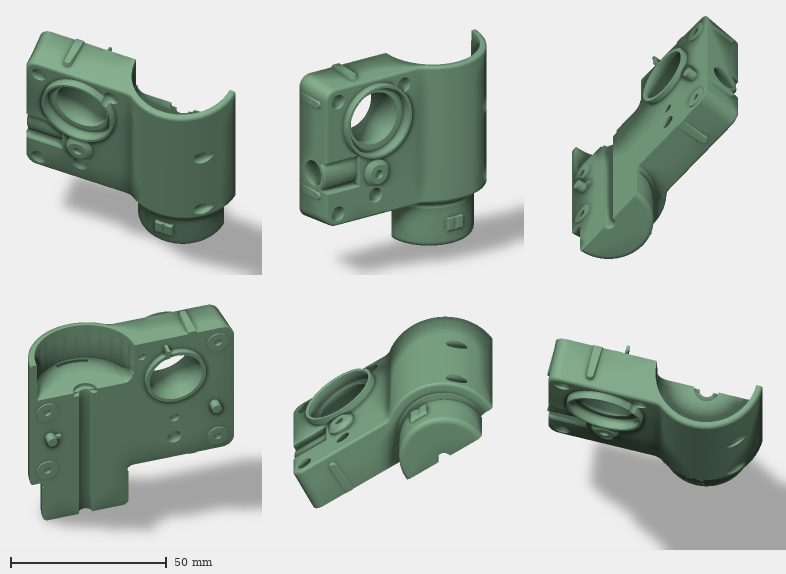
import cadquery as cq
import math


HEIGHT = 49.75
LEFT_X = -50.0
BARREL_R = 18.57
FACE_DEPTH = 14.0
DRAFT = 4.0
CORNER_R = 4.0
BLEND_R = 4.6
FRONT_EDGE_R = 1.0
OVERLAP = 1.0

CAVITY_FLOOR_Z = 34.8
CAVITY_TOP_R = 16.45
CAVITY_FLOOR_R = 16.3
CAVITY_CHAMFER = 0.35
CAVITY_COVE_R = 3.0
CAVITY_COVE_X = -12.95
SHAFT_R = 2.2
SHAFT_SEAT_R = 4.0
SHAFT_SEAT_DEPTH = 1.0
SHAFT_STEP_Y = -1.56
SHAFT_STEP_DEPTH = 0.5
FLOOR_SLOT_R = 14.6
FLOOR_SLOT_WIDTH = 10.4
FLOOR_SLOT_DEPTH = 1.0

COLLAR_R = 14.45
COLLAR_LENGTH = 16.0
COLLAR_SHOULDER_Z = -2.4
COLLAR_END_R = 1.8
NECK_R = 14.06
NECK_FILLET_R = 1.2
FLANGE_Z = -0.35

CLIP_TOP_Z = -6.1
CLIP_BOTTOM_Z = -11.0
CLIP_FRONT_Y = -15.7
CLIP_WIDTH = 6.0
CLIP_EDGE_R = 0.6
CLIP_BEVEL = 1.1
CLIP_GROOVE_WIDTH = 1.8
CLIP_GROOVE_DEPTH = 0.45

RING_X = -29.9
RING_Z = 34.6
RING_BASE_R = 12.65
RING_FACE_R = 12.4
RING_HEIGHT = 2.5
RING_RECESS_R = 11.4
RING_RECESS_DEPTH = 3.6
RING_BORE_R = 8.9
RING_LIP = 0.25
BACK_RING_R = 10.1
BACK_RING_HEIGHT = 1.95

BOSS_Z = 16.2
BOSS_R = 4.53
BOSS_HEIGHT = 2.05
BOSS_CHAMFER_HEIGHT = 1.1
BOSS_TOP_R = 3.28
BOSS_HOLE_R = 1.52
LOWER_HOLE_Z = 8.25
LOWER_HOLE_R = 2.35
LOWER_HOLE_CHAMFER = 0.25

SCREW_LEFT_X = -44.4
SCREW_MIDDLE_X = -18.97
SCREW_RIGHT_X = 12.97
SCREW_LOW_Z = 5.15
SCREW_MID_Z = 29.26
SCREW_HIGH_Z = 44.16
SCREW_HOLE_R = 1.26
SCREW_HEAD_R = 2.5
SCREW_HEAD_SEAT_Y = -4.0
SCREW_PAD_R = 3.5
SCREW_PAD_HEIGHT = 0.43
PADDED_SCREWS = [
    (SCREW_LEFT_X, SCREW_LOW_Z),
    (SCREW_LEFT_X, SCREW_HIGH_Z),
    (SCREW_RIGHT_X, SCREW_LOW_Z),
    (SCREW_RIGHT_X, SCREW_MID_Z),
]
ALL_SCREWS = PADDED_SCREWS + [(SCREW_MIDDLE_X, SCREW_HIGH_Z)]

PIN_XS = (-43.3, 12.05)
PIN_Z = 18.8
PIN_R = 1.6
PIN_HEIGHT = 3.2
GUSSET_END_X = 8.7
GUSSET_HEIGHT = 1.25
GUSSET_THICKNESS = 1.0
FIN_X = -26.9
FIN_THICKNESS = 0.97
FIN_BOTTOM_Z = 43.9
FIN_TOP_Z = 47.3
FIN_HEIGHT = 3.2
FIN_TIP_Y = 3.68
FIN_LIP = 0.8

SIDE_BORE_Y = -7.13
SIDE_BORE_Z = 18.15
SIDE_BORE_R = 4.3
SIDE_BORE_LIP = 0.2
SIDE_BORE_DEPTH = 13.0
TUBE_R = 6.0
TUBE_CHAMFER = 0.5
POCKET_END_X = -36.5
POCKET_WIDTH = 10.1
POCKET_RIM_CHAMFER = 0.5
POCKET_FLOOR_Y = -10.95

RIB_LENGTH = 11.0
RIB_ROOT_WIDTH = 2.7
RIB_TIP_R = 1.0
RIB_DEPTH = 1.8
RIB_FLARE = 20.0
END_RIB_X = -36.0
TOP_RIB_Z = 50.5
BOTTOM_RIB_Z = -0.25
LEFT_RIB_ZS = (11.2, 43.04)

SPAN = 200.0


def front_of_parting_plane():
    return cq.Workplane("XY").box(SPAN, SPAN, SPAN).translate((0, -SPAN / 2, 0))


def rod_y(x, z, radius, y_start, y_end):
    """Round bar parallel to Y between two Y positions."""
    bar = cq.Workplane("XZ").center(x, z).circle(radius).extrude(y_start - y_end)
    return bar.translate((0, y_start, 0))


def cone_y(x, z, start_r, end_r, y_start, y_end):
    """Cone frustum along -Y, from start_r at y_start to end_r at y_end."""
    cone = cq.Solid.makeCone(
        start_r, end_r, y_start - y_end, cq.Vector(x, y_start, z), cq.Vector(0, -1, 0)
    )
    return cq.Workplane(cone)


def block(x_range, y_range, z_range):
    sizes = [high - low for low, high in (x_range, y_range, z_range)]
    corner = (x_range[0], y_range[0], z_range[0])
    return cq.Workplane("XY").box(*sizes, centered=False).translate(corner)


def make_body():
    blend_y = -(FACE_DEPTH + BLEND_R)
    blend_x = -math.sqrt((BARREL_R + BLEND_R) ** 2 - blend_y ** 2)
    barrel_share = BARREL_R / (BARREL_R + BLEND_R)
    barrel_tangent = (blend_x * barrel_share, blend_y * barrel_share)
    section = (
        cq.Workplane("XY")
        .moveTo(LEFT_X - OVERLAP, 0)
        .lineTo(LEFT_X - OVERLAP, -FACE_DEPTH)
        .lineTo(blend_x, -FACE_DEPTH)
        .radiusArc(barrel_tangent, BLEND_R)
        .threePointArc((0, -BARREL_R), (BARREL_R, 0))
        .close()
        .extrude(HEIGHT)
    )
    envelope_right = 2 * BARREL_R
    envelope = (
        cq.Workplane("XZ")
        .center((LEFT_X + envelope_right) / 2, HEIGHT / 2)
        .rect(envelope_right - LEFT_X, HEIGHT)
        .extrude(BARREL_R + OVERLAP, taper=DRAFT)
    )
    left_corners = cq.selectors.BoxSelector(
        (LEFT_X - OVERLAP, -SPAN, -SPAN), (LEFT_X + CORNER_R, -OVERLAP, SPAN)
    )
    envelope = envelope.edges(left_corners).edges("not(|Z)").fillet(CORNER_R)
    body = section.intersect(envelope)
    return body.faces("<Y[1]").edges().fillet(FRONT_EDGE_R)


def make_rib():
    """Tapered rib along -Y with its crest on Z = 0, flaring downward."""
    tip_center_y = RIB_TIP_R - RIB_LENGTH
    half_root = RIB_ROOT_WIDTH / 2
    rib = (
        cq.Workplane("XY")
        .moveTo(-half_root, 0)
        .lineTo(-RIB_TIP_R, tip_center_y)
        .threePointArc((0, -RIB_LENGTH), (RIB_TIP_R, tip_center_y))
        .lineTo(half_root, 0)
        .close()
        .extrude(-RIB_DEPTH, taper=-RIB_FLARE)
    )
    return rib.intersect(front_of_parting_plane())


def add_ribs(part):
    rib = make_rib()
    part = part.union(rib.translate((END_RIB_X, 0, TOP_RIB_Z)))
    bottom_rib = rib.rotate((0, 0, 0), (0, 1, 0), 180)
    part = part.union(bottom_rib.translate((END_RIB_X, 0, BOTTOM_RIB_Z)))
    left_rib = rib.rotate((0, 0, 0), (0, 1, 0), -90)
    for z in LEFT_RIB_ZS:
        part = part.union(left_rib.translate((LEFT_X, 0, z)))
    return part


def make_collar():
    flange_r = NECK_R + NECK_FILLET_R
    neck_top_z = FLANGE_Z - NECK_FILLET_R
    profile = (
        cq.Workplane("XZ")
        .moveTo(0, 2 * OVERLAP)
        .lineTo(flange_r, 2 * OVERLAP)
        .lineTo(flange_r, FLANGE_Z)
        .radiusArc((NECK_R, neck_top_z), -NECK_FILLET_R)
        .lineTo(COLLAR_R, COLLAR_SHOULDER_Z)
        .lineTo(COLLAR_R, -COLLAR_LENGTH)
        .lineTo(0, -COLLAR_LENGTH)
        .close()
    )
    collar = profile.revolve(360, (0, 0, 0), (0, 1, 0))
    collar = collar.faces("<Z").edges().fillet(COLLAR_END_R)
    return collar.intersect(front_of_parting_plane())


def make_clip():
    half = CLIP_WIDTH / 2
    clip = block((-half, half), (CLIP_FRONT_Y, OVERLAP - COLLAR_R), (CLIP_BOTTOM_Z, CLIP_TOP_Z))
    clip = clip.faces("<Y").edges("|Z").fillet(CLIP_EDGE_R)
    bevel = (
        cq.Workplane("YZ", origin=(-half, 0, 0))
        .moveTo(CLIP_FRONT_Y, CLIP_BOTTOM_Z)
        .lineTo(CLIP_FRONT_Y + CLIP_BEVEL, CLIP_BOTTOM_Z)
        .lineTo(CLIP_FRONT_Y, CLIP_BOTTOM_Z + CLIP_BEVEL)
        .close()
        .extrude(CLIP_WIDTH)
    )
    groove = (
        cq.Workplane("XY", origin=(0, CLIP_FRONT_Y, CLIP_BOTTOM_Z))
        .moveTo(-CLIP_GROOVE_WIDTH / 2, 0)
        .lineTo(0, CLIP_GROOVE_DEPTH)
        .lineTo(CLIP_GROOVE_WIDTH / 2, 0)
        .close()
        .extrude(CLIP_TOP_Z - CLIP_BOTTOM_Z)
    )
    return clip.cut(bevel).cut(groove)


def make_cavity_cove():
    """Concave quarter-round filling the foot of the cavity wall towards -X."""
    cove_top_z = CAVITY_FLOOR_Z + CAVITY_COVE_R
    cove_left_x = CAVITY_COVE_X - CAVITY_COVE_R
    return (
        cq.Workplane("XZ")
        .moveTo(CAVITY_COVE_X, CAVITY_FLOOR_Z)
        .radiusArc((cove_left_x, cove_top_z), CAVITY_COVE_R)
        .lineTo(-BARREL_R, cove_top_z)
        .lineTo(-BARREL_R, CAVITY_FLOOR_Z)
        .close()
        .extrude(BARREL_R)
    )


def cut_cavity(part):
    cavity_depth = HEIGHT - CAVITY_FLOOR_Z
    wall_angle = math.degrees(math.atan((CAVITY_TOP_R - CAVITY_FLOOR_R) / cavity_depth))
    floor = cq.Workplane("XY", origin=(0, 0, CAVITY_FLOOR_Z))
    cavity = floor.circle(CAVITY_FLOOR_R).extrude(cavity_depth, taper=-wall_angle)
    cavity = cavity.faces("<Z").edges().chamfer(CAVITY_CHAMFER)
    part = part.cut(cavity.cut(make_cavity_cove()))

    half_slot = FLOOR_SLOT_WIDTH / 2
    slot_ring = floor.circle(CAVITY_FLOOR_R).circle(FLOOR_SLOT_R).extrude(-FLOOR_SLOT_DEPTH)
    slot_limits = block((-half_slot, half_slot), (-BARREL_R, 0), (0, HEIGHT))
    part = part.cut(slot_ring.intersect(slot_limits))

    part = part.cut(floor.circle(SHAFT_SEAT_R).extrude(-SHAFT_SEAT_DEPTH))
    step = floor.circle(SHAFT_SEAT_R).extrude(-(SHAFT_SEAT_DEPTH + SHAFT_STEP_DEPTH))
    step_limits = block((-SHAFT_SEAT_R, SHAFT_SEAT_R), (SHAFT_STEP_Y, 0), (0, HEIGHT))
    part = part.cut(step.intersect(step_limits))
    shaft = cq.Workplane("XY", origin=(0, 0, -COLLAR_LENGTH)).circle(SHAFT_R).extrude(SPAN)
    return part.cut(shaft)


def add_ring_and_boss(part):
    ring_face_y = -(FACE_DEPTH + RING_HEIGHT)
    part = part.union(cone_y(RING_X, RING_Z, RING_BASE_R, RING_FACE_R, -FACE_DEPTH, ring_face_y))
    part = part.union(rod_y(RING_X, RING_Z, BACK_RING_R, -OVERLAP, BACK_RING_HEIGHT))

    boss_top_y = -(FACE_DEPTH + BOSS_HEIGHT)
    shoulder_y = boss_top_y + BOSS_CHAMFER_HEIGHT
    part = part.union(rod_y(RING_X, BOSS_Z, BOSS_R, shoulder_y, OVERLAP - FACE_DEPTH))
    return part.union(cone_y(RING_X, BOSS_Z, BOSS_R, BOSS_TOP_R, shoulder_y, boss_top_y))


def cut_ring_and_boss_holes(part):
    ring_face_y = -(FACE_DEPTH + RING_HEIGHT)
    recess_floor_y = ring_face_y + RING_RECESS_DEPTH
    part = part.cut(rod_y(RING_X, RING_Z, RING_RECESS_R, ring_face_y, recess_floor_y))
    lip_r = RING_RECESS_R + RING_LIP
    lip_floor_y = ring_face_y + RING_LIP
    part = part.cut(cone_y(RING_X, RING_Z, RING_RECESS_R, lip_r, lip_floor_y, ring_face_y))
    part = part.cut(rod_y(RING_X, RING_Z, RING_BORE_R, ring_face_y, BACK_RING_HEIGHT))
    part = part.cut(rod_y(RING_X, BOSS_Z, BOSS_HOLE_R, ring_face_y, 0))
    lower_hole = rod_y(RING_X, LOWER_HOLE_Z, LOWER_HOLE_R, -FACE_DEPTH, 0)
    mouth_floor_y = LOWER_HOLE_CHAMFER - FACE_DEPTH
    mouth_r = LOWER_HOLE_R + LOWER_HOLE_CHAMFER
    mouth = cone_y(RING_X, LOWER_HOLE_Z, LOWER_HOLE_R, mouth_r, mouth_floor_y, -FACE_DEPTH)
    return part.cut(lower_hole).cut(mouth)


def add_parting_plane_features(part):
    for x, z in PADDED_SCREWS:
        part = part.union(rod_y(x, z, SCREW_PAD_R, -OVERLAP, SCREW_PAD_HEIGHT))
    for x in PIN_XS:
        part = part.union(rod_y(x, PIN_Z, PIN_R, -OVERLAP, PIN_HEIGHT))
    half_gusset = GUSSET_THICKNESS / 2
    gusset = block(
        (GUSSET_END_X, PIN_XS[1]),
        (-OVERLAP, GUSSET_HEIGHT),
        (PIN_Z - half_gusset, PIN_Z + half_gusset),
    )
    part = part.union(gusset)

    half_fin = FIN_THICKNESS / 2
    fin_x_range = (FIN_X - half_fin, FIN_X + half_fin)
    fin = block(fin_x_range, (-OVERLAP, FIN_HEIGHT), (FIN_BOTTOM_Z, FIN_TOP_Z))
    lip = block(fin_x_range, (-OVERLAP, FIN_TIP_Y), (FIN_TOP_Z - FIN_LIP, FIN_TOP_Z))
    return part.union(fin).union(lip)


def cut_screw_holes(part):
    for x, z in ALL_SCREWS:
        part = part.cut(rod_y(x, z, SCREW_HOLE_R, -SPAN, SCREW_PAD_HEIGHT))
        part = part.cut(rod_y(x, z, SCREW_HEAD_R, -SPAN, SCREW_HEAD_SEAT_Y))
    return part


def cut_side_bore(part):
    outside_x = LEFT_X - 2 * OVERLAP
    length = POCKET_END_X - outside_x
    half_width = POCKET_WIDTH / 2
    rim_y = -FACE_DEPTH
    rim_end_x = POCKET_END_X + POCKET_RIM_CHAMFER
    rim_half_width = half_width + POCKET_RIM_CHAMFER
    pocket = block(
        (outside_x, POCKET_END_X),
        (rim_y, POCKET_FLOOR_Y),
        (SIDE_BORE_Z - half_width, SIDE_BORE_Z + half_width),
    )
    rim = (
        cq.Workplane("XZ", origin=((outside_x + rim_end_x) / 2, rim_y, SIDE_BORE_Z))
        .rect(rim_end_x - outside_x, 2 * rim_half_width)
        .extrude(-POCKET_RIM_CHAMFER, taper=45)
    )
    ring_clearance = block(
        (outside_x, rim_end_x),
        (rim_y - RING_HEIGHT, rim_y),
        (SIDE_BORE_Z - rim_half_width, SIDE_BORE_Z + rim_half_width),
    )

    draft_slope = math.tan(math.radians(DRAFT))
    tube_start_x = LEFT_X + (TUBE_R - SIDE_BORE_Y) * draft_slope
    axis = cq.Workplane("YZ", origin=(outside_x, SIDE_BORE_Y, SIDE_BORE_Z))
    tube = (
        cq.Workplane("YZ", origin=(tube_start_x, SIDE_BORE_Y, SIDE_BORE_Z))
        .circle(TUBE_R)
        .extrude(POCKET_END_X - tube_start_x)
        .faces("<X")
        .chamfer(TUBE_CHAMFER)
    )
    tube = tube.union(axis.circle(TUBE_R - TUBE_CHAMFER).extrude(length))
    part = part.cut(pocket.union(rim).union(ring_clearance).cut(tube))

    wall_x = LEFT_X - SIDE_BORE_Y * draft_slope
    bore = axis.circle(SIDE_BORE_R).extrude(wall_x + SIDE_BORE_DEPTH - outside_x)
    mouth = (
        cq.Workplane("YZ", origin=(wall_x, SIDE_BORE_Y, SIDE_BORE_Z))
        .circle(SIDE_BORE_R + SIDE_BORE_LIP)
        .extrude(SIDE_BORE_LIP)
    )
    return part.cut(bore).cut(mouth)


result = make_body()
result = result.union(make_collar().union(make_clip()))
result = add_ribs(result)
result = add_ring_and_boss(result)
result = add_parting_plane_features(result)
result = cut_cavity(result)
result = cut_side_bore(result)
result = cut_ring_and_boss_holes(result)
result = cut_screw_holes(result)